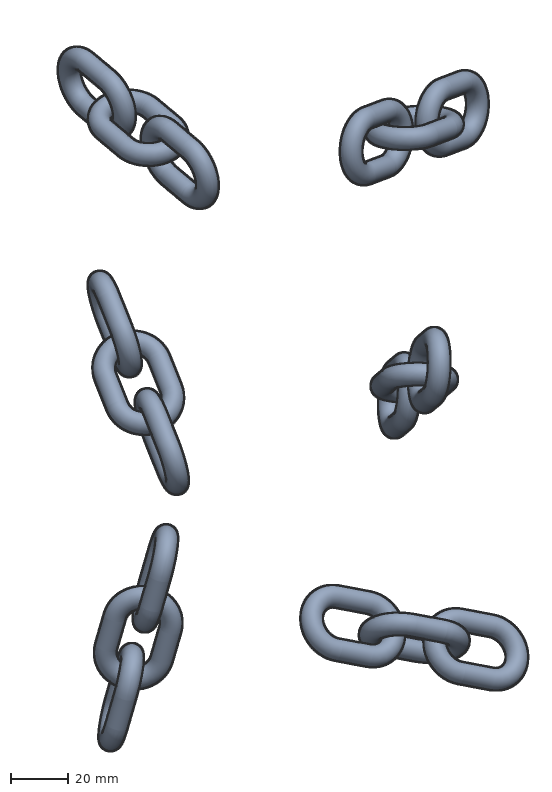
import cadquery as cq

chain_length = 88.0
link_count = 3
link_length = 40.0
link_width = 28.0
wire_diameter = 8.0

bend_radius = (link_width - wire_diameter) / 2
straight_length = link_length - link_width
link_pitch = (chain_length - link_length) / (link_count - 1)


def make_link():
    """One oval link of round wire, lying in the XY plane and centred on the origin."""
    half_straight = straight_length / 2
    bend_end = half_straight + bend_radius
    centre_line = (
        cq.Workplane("XY")
        .moveTo(-half_straight, bend_radius)
        .lineTo(half_straight, bend_radius)
        .threePointArc((bend_end, 0), (half_straight, -bend_radius))
        .lineTo(-half_straight, -bend_radius)
        .threePointArc((-bend_end, 0), (-half_straight, bend_radius))
        .close()
    )
    wire_section = cq.Workplane("YZ", origin=(-half_straight, bend_radius, 0)).circle(wire_diameter / 2)
    return wire_section.sweep(centre_line)


links = []
for index in range(link_count):
    link = make_link()
    is_upright = index % 2 == 0
    if is_upright:
        link = link.rotate((0, 0, 0), (1, 0, 0), 90)
    centre_x = (index - (link_count - 1) / 2) * link_pitch
    links.append(link.translate((centre_x, 0, 0)))

result = cq.Compound.makeCompound([link.val() for link in links])